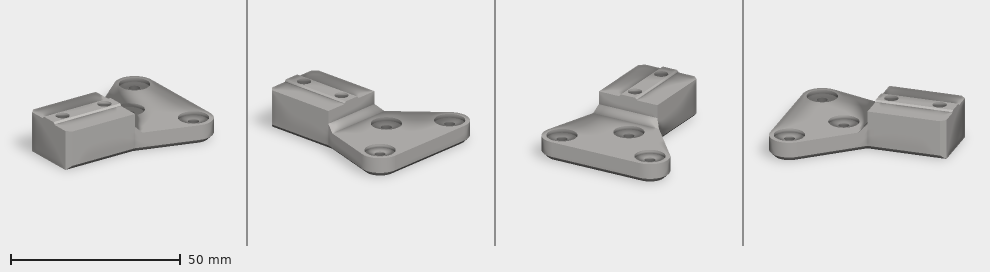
import cadquery as cq
import math

block_width = 20.0
block_length = 24.0
block_height = 12.5
corner_chamfer = 1.5

total_height = 13.2
ridge_width = 5.9
ridge_height = total_height - block_height
ridge_chamfer = 0.5

total_length = 50.91
plate_thickness = 6.2
lobe_radius = 6.0
lobe_spacing = 30.13
left_lobe_x = -19.93
right_lobe_x = left_lobe_x + lobe_spacing
left_lobe_end_angle = 225.0
lobe_y = total_length - lobe_radius
gusset_size = 2.2
bottom_chamfer = 1.5

block_hole_diameter = 4.2
block_hole_pitch = 15.0
first_block_hole_y = 5.0
screw_diameter = 3.2
screw_head_diameter = 9.2
screw_head_depth = 1.2
middle_screw = (-5.54, 32.87)

half_width = block_width / 2
block_holes = [(0, first_block_hole_y), (0, first_block_hole_y + block_hole_pitch)]
plate_screws = [(left_lobe_x, lobe_y), (right_lobe_x, lobe_y), middle_screw]


def lobe_point(lobe_x, angle):
    """Point on a lobe at the given angle from +X."""
    return (lobe_x + lobe_radius * math.cos(angle), lobe_y + lobe_radius * math.sin(angle))


def right_tangent_angle():
    """Angle on the right lobe where the line from the rear block corner touches it."""
    dx = half_width - right_lobe_x
    dy = block_length - lobe_y
    return math.atan2(dy, dx) + math.acos(lobe_radius / math.hypot(dx, dy))


def make_outline_body():
    """Full-height prism of the block and plate outline."""
    left_angle = math.radians(left_lobe_end_angle)
    right_angle = right_tangent_angle()
    return (
        cq.Workplane("XY")
        .moveTo(-half_width, 0)
        .lineTo(half_width, 0)
        .lineTo(half_width, block_length)
        .lineTo(*lobe_point(right_lobe_x, right_angle))
        .threePointArc(lobe_point(right_lobe_x, math.pi / 4), (right_lobe_x, total_length))
        .lineTo(left_lobe_x, total_length)
        .threePointArc(lobe_point(left_lobe_x, 3 * math.pi / 4), lobe_point(left_lobe_x, left_angle))
        .lineTo(-half_width, block_length)
        .close()
        .extrude(block_height)
    )


def chamfer_edges(body):
    """Bevel the underside all round except at the front, then the two upright front corners."""
    front_bottom_edge = cq.selectors.NearestToPointSelector((0, 0, 0))
    bottom_edges = body.faces("<Z").edges().objects
    front_edge = body.faces("<Z").edges(front_bottom_edge).val()
    bevelled = [edge for edge in bottom_edges if not edge.isSame(front_edge)]
    body = body.newObject(bevelled).chamfer(bottom_chamfer)

    reach = half_width - corner_chamfer
    for side in (-1, 1):
        corner = (
            cq.Workplane("XY")
            .polyline([(side * reach, 0), (side * half_width, 0), (side * half_width, corner_chamfer)])
            .close()
            .extrude(block_height)
        )
        body = body.cut(corner)
    return body


def make_plate_clearance():
    """Space above the plate, leaving a sloped gusset against the rear of the block."""
    return (
        cq.Workplane("YZ")
        .moveTo(block_length, block_height)
        .lineTo(block_length, plate_thickness + gusset_size)
        .lineTo(block_length + gusset_size, plate_thickness)
        .lineTo(total_length, plate_thickness)
        .lineTo(total_length, block_height)
        .close()
        .extrude(lobe_spacing + 2 * lobe_radius, both=True)
    )


def make_ridge():
    """Guide ridge with bevelled top edges, running the length of the block."""
    return (
        cq.Workplane("XY", origin=(0, block_length / 2, block_height))
        .box(ridge_width, block_length, ridge_height, centered=(True, True, False))
        .faces(">Z")
        .edges("|Y")
        .chamfer(ridge_chamfer)
    )


def make_holes(points, diameter, bottom):
    """Vertical cylinders from the bottom level up past the top of the part."""
    return (
        cq.Workplane("XY", origin=(0, 0, bottom))
        .pushPoints(points)
        .circle(diameter / 2)
        .extrude(total_height)
    )


body = chamfer_edges(make_outline_body())
body = body.cut(make_plate_clearance())
body = body.union(make_ridge())
body = body.cut(make_holes(block_holes, block_hole_diameter, 0))
body = body.cut(make_holes(plate_screws, screw_diameter, 0))
body = body.cut(make_holes(plate_screws, screw_head_diameter, plate_thickness - screw_head_depth))

result = body